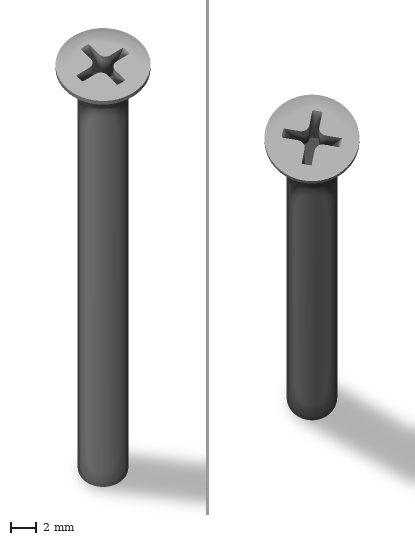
import cadquery as cq

overall_length = 50.0
head_diameter = 7.5
shank_diameter = 4.0
head_rim_height = 0.45
tip_diameter = 3.2

recess_span = 4.75
recess_floor_span = 2.4
recess_depth = 2.6
wing_width = 0.8
wing_corner_radius = 0.65

head_radius = head_diameter / 2
shank_radius = shank_diameter / 2
tip_radius = tip_diameter / 2

head_height = head_rim_height + head_radius - shank_radius
tip_chamfer = shank_radius - tip_radius


def make_body():
    """Revolve the half profile of the head, shank and chamfered tip."""
    return (
        cq.Workplane("XZ")
        .lineTo(head_radius, 0)
        .lineTo(head_radius, -head_rim_height)
        .lineTo(shank_radius, -head_height)
        .lineTo(shank_radius, tip_chamfer - overall_length)
        .lineTo(tip_radius, -overall_length)
        .lineTo(0, -overall_length)
        .close()
        .revolve(360, (0, 0, 0), (0, 1, 0))
    )


def make_cross_recess():
    """Intersect a cross-shaped prism, rounded where wings meet, with the tapering cone."""
    wing_x = cq.Workplane("XY").rect(recess_span, wing_width).extrude(-recess_depth)
    wing_y = cq.Workplane("XY").rect(wing_width, recess_span).extrude(-recess_depth)
    corner_box = cq.selectors.BoxSelector(
        (-wing_width, -wing_width, -recess_depth),
        (wing_width, wing_width, 0),
    )
    cross = wing_x.union(wing_y).edges("|Z").edges(corner_box).fillet(wing_corner_radius)
    cone = (
        cq.Workplane("XY")
        .circle(recess_span / 2)
        .workplane(offset=-recess_depth)
        .circle(recess_floor_span / 2)
        .loft(ruled=True)
    )
    return cross.intersect(cone)


result = make_body().cut(make_cross_recess())